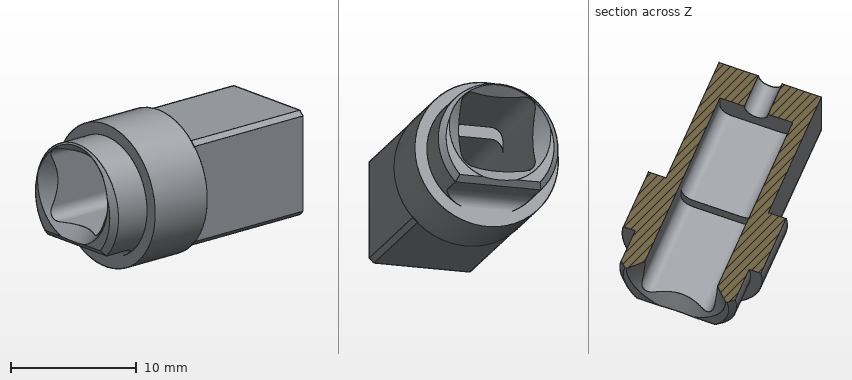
import cadquery as cq

total_length = 20.5
nose_length = 3.5
collar_length = 5.5
shank_length = total_length - nose_length - collar_length

collar_diameter = 12.0
nose_diameter = 10.0
nose_chamfer = 0.5
shank_width = 8.8
shank_chamfer = 0.39

flat_drop = 3.5
flat_root_radius = 1.0

socket_rise = 1.0
socket_width = 6.2
socket_corner_radius = 1.0
outer_socket_depth = nose_length + collar_length
inner_socket_height = 4.2
inner_socket_depth = 17.42
bore_diameter = 2.0
flare_radius = 4.25


def section_at(y, z=0):
    """Workplane at distance y from the mouth, extruding toward +Y."""
    return cq.Workplane(cq.Plane(origin=(0, y, z), xDir=(-1, 0, 0), normal=(0, 1, 0)))


def make_nose():
    """Round nose with a flat underside, blended into the collar and chamfered at the mouth."""
    nose = section_at(0).circle(nose_diameter / 2).extrude(nose_length)
    below_nose = -nose_diameter
    relief = (
        cq.Workplane("YZ")
        .moveTo(0, below_nose)
        .lineTo(0, -flat_drop)
        .lineTo(nose_length - flat_root_radius, -flat_drop)
        .radiusArc((nose_length, -flat_drop - flat_root_radius), flat_root_radius)
        .lineTo(nose_length, below_nose)
        .close()
        .extrude(nose_diameter, both=True)
    )
    relieved = nose.cut(relief)
    return relieved.faces("<Y").edges().chamfer(nose_chamfer)


def make_shank():
    """Square shank with its long edges chamfered."""
    return (
        section_at(nose_length + collar_length)
        .rect(shank_width, shank_width)
        .extrude(shank_length)
        .edges("|Y")
        .chamfer(shank_chamfer)
    )


def make_socket(height, depth):
    """Rounded rectangular recess cut inward from the mouth."""
    return (
        section_at(0, socket_rise)
        .rect(socket_width, height)
        .extrude(depth)
        .edges("|Y")
        .fillet(socket_corner_radius)
    )


def make_flare():
    """45 degree lead-in cone at the mouth of the socket."""
    cone = cq.Solid.makeCone(
        flare_radius, 0, flare_radius,
        pnt=cq.Vector(0, 0, socket_rise), dir=cq.Vector(0, 1, 0),
    )
    return cq.Workplane(obj=cone)


collar = section_at(nose_length).circle(collar_diameter / 2).extrude(collar_length)
bore = section_at(0, socket_rise).circle(bore_diameter / 2).extrude(total_length)

result = (
    collar.union(make_nose())
    .union(make_shank())
    .cut(make_socket(socket_width, outer_socket_depth))
    .cut(make_socket(inner_socket_height, inner_socket_depth))
    .cut(make_flare())
    .cut(bore)
)